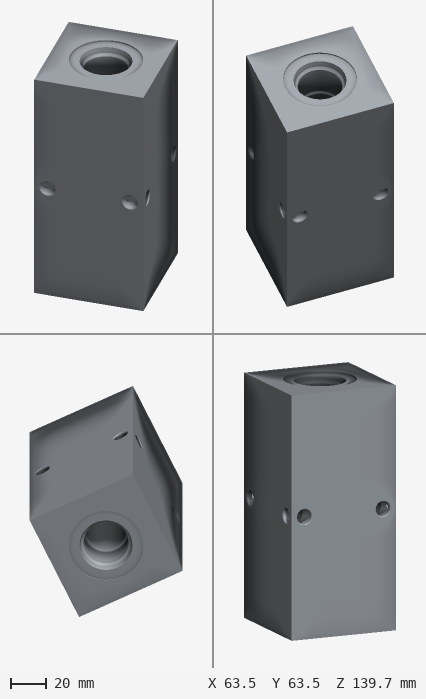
import cadquery as cq
import math

side = 63.5
height = 139.7

bore_diameter = 22.4
spotface_diameter = 41.1
spotface_depth = 0.8
seat_mouth_diameter = 29.3
seat_floor_diameter = 27.7
seat_depth = 3.2
port_diameter = 24.9
port_depth = 22.4
drill_point_angle = 118.0

cross_hole_diameter = 8.5
cross_hole_offset = 24.0
cross_hole_chamfer = 0.4


def port_cutter():
    """Revolved port shape, opening upward at the top face of the block."""
    spotface_floor = height / 2 - spotface_depth
    seat_floor = spotface_floor - seat_depth
    lead_in_depth = (seat_floor_diameter - port_diameter) / 2
    port_end = height / 2 - port_depth
    drill_tip = port_end - port_diameter / 2 / math.tan(math.radians(drill_point_angle / 2))
    return (
        cq.Workplane("XZ")
        .moveTo(0, height / 2)
        .lineTo(spotface_diameter / 2, height / 2)
        .lineTo(spotface_diameter / 2, spotface_floor)
        .lineTo(seat_mouth_diameter / 2, spotface_floor)
        .lineTo(seat_floor_diameter / 2, seat_floor)
        .lineTo(port_diameter / 2, seat_floor - lead_in_depth)
        .lineTo(port_diameter / 2, port_end)
        .lineTo(0, drill_tip)
        .close()
        .revolve(360, (0, 0), (0, 1))
    )


def cross_hole_cutter():
    """Hole along Y through the block at X = 0, chamfered at both mouths."""
    radius = cross_hole_diameter / 2
    mouth_radius = radius + cross_hole_chamfer
    half_length = side / 2
    straight_end = half_length - cross_hole_chamfer
    return (
        cq.Workplane("XY")
        .moveTo(0, -half_length)
        .lineTo(mouth_radius, -half_length)
        .lineTo(radius, -straight_end)
        .lineTo(radius, straight_end)
        .lineTo(mouth_radius, half_length)
        .lineTo(0, half_length)
        .close()
        .revolve(360, (0, 0), (0, 1))
    )


result = cq.Workplane("XY").box(side, side, height)
result = result.cut(cq.Workplane("XY").circle(bore_diameter / 2).extrude(height / 2, both=True))

top_port = port_cutter()
result = result.cut(top_port).cut(top_port.mirror("XY"))

for offset in (-cross_hole_offset, cross_hole_offset):
    hole_along_y = cross_hole_cutter().translate((offset, 0, 0))
    hole_along_x = hole_along_y.rotate((0, 0, 0), (0, 0, 1), 90)
    result = result.cut(hole_along_y).cut(hole_along_x)